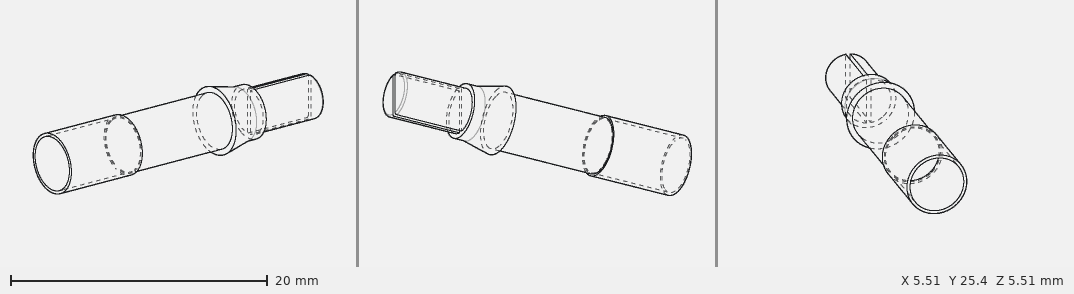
import cadquery as cq
import math

BARREL_DIAMETER = 4.86
SHANK_DIAMETER = 4.55
BARB_DIAMETER = 5.51
COLLAR_DIAMETER = 4.4
TIP_DIAMETER = 3.64

BARREL_LENGTH = 7.0
SHANK_LENGTH = 9.0
BARB_LENGTH = 2.45
COLLAR_LENGTH = 0.95
TIP_LENGTH = 6.0

TIP_FILLET_RADIUS = 0.16

BORE_DIAMETER = 4.36
BORE_LENGTH = BARREL_LENGTH
DRILL_POINT_ANGLE = 118.0

SLOT_WIDTH = 0.36

BARREL_END = BARREL_LENGTH
SHANK_END = BARREL_END + SHANK_LENGTH
BARB_END = SHANK_END + BARB_LENGTH
COLLAR_END = BARB_END + COLLAR_LENGTH
TIP_END = COLLAR_END + TIP_LENGTH


def revolve_about_y(profile):
    """Turn a closed (radius, Y) profile around the Y axis."""
    return cq.Workplane("XY").polyline(profile).close().revolve(360, (0, 0, 0), (0, 1, 0))


def make_body():
    """Solid stepped body with the conical barb and the rounded tip."""
    barrel_radius = BARREL_DIAMETER / 2
    shank_radius = SHANK_DIAMETER / 2
    collar_radius = COLLAR_DIAMETER / 2
    tip_radius = TIP_DIAMETER / 2
    body = revolve_about_y([
        (0, 0),
        (barrel_radius, 0),
        (barrel_radius, BARREL_END),
        (shank_radius, BARREL_END),
        (shank_radius, SHANK_END),
        (BARB_DIAMETER / 2, SHANK_END),
        (collar_radius, BARB_END),
        (collar_radius, COLLAR_END),
        (tip_radius, COLLAR_END),
        (tip_radius, TIP_END),
        (0, TIP_END),
    ])
    return body.faces(">Y").edges().fillet(TIP_FILLET_RADIUS)


def make_bore():
    """Cylinder with a conical end, open at Y = 0."""
    bore_radius = BORE_DIAMETER / 2
    point_length = bore_radius / math.tan(math.radians(DRILL_POINT_ANGLE / 2))
    return revolve_about_y([
        (0, 0),
        (bore_radius, 0),
        (bore_radius, BORE_LENGTH),
        (0, BORE_LENGTH + point_length),
    ])


def make_slot():
    """Vertical slot that splits the tip down to the collar face."""
    return cq.Workplane("XY").box(SLOT_WIDTH, TIP_LENGTH, TIP_DIAMETER).translate(
        (0, COLLAR_END + TIP_LENGTH / 2, 0)
    )


result = make_body().cut(make_bore()).cut(make_slot())